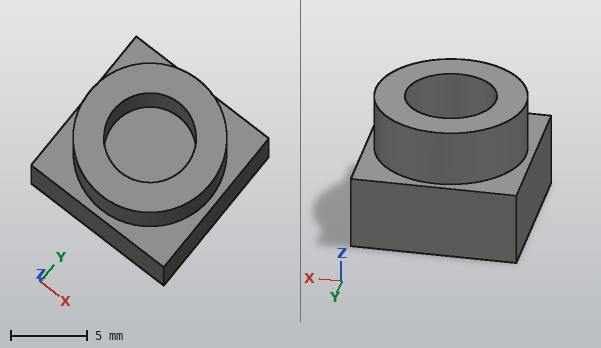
import cadquery as cq

base_side = 11.0
total_height = 8.8
base_height = 5.0
collar_diameter = 10.0
bore_diameter = 6.0

collar_height = total_height - base_height

base = cq.Workplane("XY").box(base_side, base_side, base_height, centered=(True, True, False))

collar = (
    cq.Workplane("XY", origin=(0, 0, base_height))
    .circle(collar_diameter / 2)
    .circle(bore_diameter / 2)
    .extrude(collar_height)
)

result = base.union(collar)